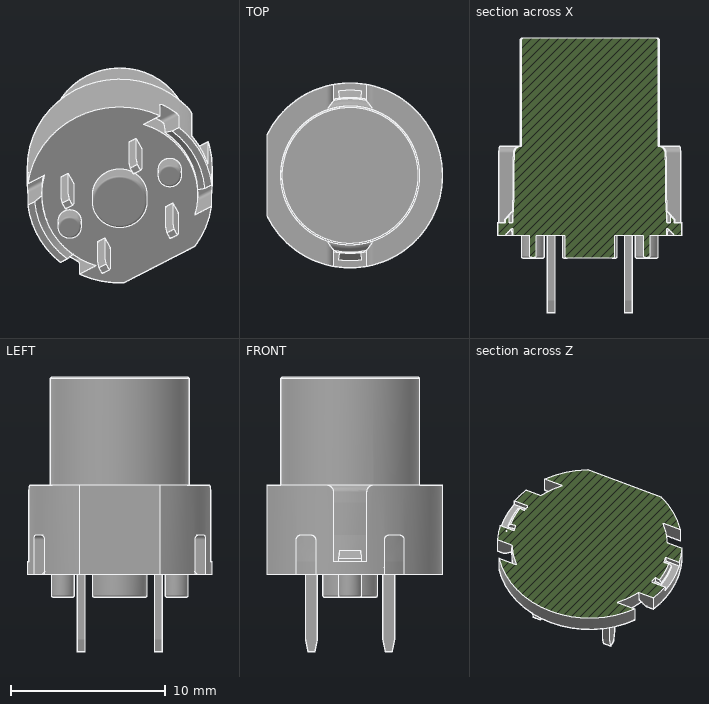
import cadquery as cq
import math

HOUSING_RADIUS = 5.99
HOUSING_HEIGHT = 5.8
FLAT_X = -5.39

CAP_RADIUS = 4.5
CAP_TOP = 12.8
CAP_EDGE_CHAMFER = 0.1

CORE_RADIUS = 4.97
CORE_TOP_RADIUS = 4.92
CORE_FOOT_RADIUS = 5.05
CORE_STRAIGHT_TOP = 4.65
CORE_STRAIGHT_BOTTOM = 2.56
FLOOR_Z = 0.85

SLOT_WIDTH = 2.15
SLOT_ROUND = 0.45

LATCH_RADIUS = 5.52
LATCH_WIDTH = 1.5
LATCH_LIP_TOP = 1.04
LATCH_TOP = 1.57

NOTCH_CENTER_X = 2.86
NOTCH_WIDTH = 1.28
NOTCH_ROUND = 0.3
UNDERCUT = 0.47

PEG_LENGTH = 1.47
PEG_ROUND = 0.15
CENTER_PEG_DIAMETER = 3.55
SIDE_PEG_DIAMETER = 1.5
SIDE_PEG_Y = 3.68

PIN_SPACING = 5.0
PIN_WIDTH = 0.78
PIN_THICKNESS = 0.53
PIN_LENGTH = 5.0
PIN_TIP_WIDTH = 0.45
PIN_TIP_LENGTH = 0.8
PIN_ROOT = 0.5

BEYOND = 1.0
SIDES = (-1, 1)


def make_core():
    """Turned core: straight waist, drawn in at the top and flared at the foot."""
    return (
        cq.Workplane("XZ")
        .lineTo(CORE_FOOT_RADIUS, 0)
        .lineTo(CORE_FOOT_RADIUS, FLOOR_Z)
        .lineTo(CORE_RADIUS, CORE_STRAIGHT_BOTTOM)
        .lineTo(CORE_RADIUS, CORE_STRAIGHT_TOP)
        .lineTo(CORE_TOP_RADIUS, HOUSING_HEIGHT)
        .lineTo(0, HOUSING_HEIGHT)
        .close()
        .revolve(360, (0, 0, 0), (0, 1, 0))
    )


def make_block():
    """Round housing block with its flat on the -X side."""
    block = cq.Workplane("XY").circle(HOUSING_RADIUS).extrude(HOUSING_HEIGHT)
    keep_length = HOUSING_RADIUS - FLAT_X
    keep = cq.Workplane("XY").box(
        keep_length, 2 * HOUSING_RADIUS, HOUSING_HEIGHT, centered=(False, True, False)
    )
    return block.intersect(keep.translate((FLAT_X, 0, 0)))


def cut_slots(block, core):
    """Cut both latch slots down to the core and round their upper edges."""
    slots = (
        cq.Workplane("XY", origin=(0, 0, FLOOR_Z))
        .rect(SLOT_WIDTH, 2 * (HOUSING_RADIUS + BEYOND))
        .extrude(HOUSING_HEIGHT)
    )
    block = block.cut(slots.cut(core))
    half_width = SLOT_WIDTH / 2
    margin = 0.01
    for side in SIDES:
        near_y = side * CAP_RADIUS
        far_y = side * (HOUSING_RADIUS - margin)
        rim = cq.selectors.BoxSelector(
            (-half_width - margin, near_y, HOUSING_HEIGHT - margin),
            (half_width + margin, far_y, HOUSING_HEIGHT + margin),
        )
        block = block.edges(rim).fillet(SLOT_ROUND)
    return block


def cut_notches(block, core):
    """Cut the four rim notches and the undercut joining them around the core."""
    for side in SIDES:
        notch = (
            cq.Workplane("XY")
            .box(
                NOTCH_WIDTH,
                2 * (HOUSING_RADIUS + BEYOND),
                CORE_STRAIGHT_BOTTOM + BEYOND,
                centered=(True, True, False),
            )
            .edges("|Y and >Z")
            .fillet(NOTCH_ROUND)
            .translate((side * NOTCH_CENTER_X, 0, -BEYOND))
        )
        block = block.cut(notch.cut(core))
    undercut = (
        cq.Workplane("XZ")
        .moveTo(CORE_FOOT_RADIUS, 0)
        .lineTo(CORE_FOOT_RADIUS + UNDERCUT, 0)
        .lineTo(CORE_FOOT_RADIUS, UNDERCUT)
        .close()
        .revolve(360, (0, 0, 0), (0, 1, 0))
    )
    between_notches = cq.Workplane("XY").box(
        2 * NOTCH_CENTER_X, 2 * HOUSING_RADIUS, 2 * UNDERCUT
    )
    return block.cut(undercut.intersect(between_notches))


def make_latch(side):
    """Latch nose: a sector of a turned wedge, sloping up toward the core."""
    sweep = 2 * math.degrees(math.asin(LATCH_WIDTH / 2 / LATCH_RADIUS))
    nose = (
        cq.Workplane("XZ")
        .moveTo(CAP_RADIUS, FLOOR_Z)
        .lineTo(LATCH_RADIUS, FLOOR_Z)
        .lineTo(LATCH_RADIUS, LATCH_LIP_TOP)
        .lineTo(CORE_FOOT_RADIUS, LATCH_TOP)
        .lineTo(CAP_RADIUS, LATCH_TOP)
        .close()
        .revolve(sweep, (0, 0, 0), (0, 1, 0))
    )
    return nose.rotate((0, 0, 0), (0, 0, 1), side * 90 - sweep / 2)


def make_cap():
    """Button cap with a narrow chamfer around its top."""
    return (
        cq.Workplane("XY", origin=(0, 0, FLOOR_Z))
        .circle(CAP_RADIUS)
        .extrude(CAP_TOP - FLOOR_Z)
        .faces(">Z")
        .edges()
        .chamfer(CAP_EDGE_CHAMFER)
    )


def make_peg(diameter, y):
    """Round peg hanging from the housing floor, rounded at its end."""
    return (
        cq.Workplane("XY", origin=(0, y, 0))
        .circle(diameter / 2)
        .extrude(-PEG_LENGTH)
        .faces("<Z")
        .edges()
        .fillet(PEG_ROUND)
    )


def make_pin(x, y):
    """Flat pin, tapered across its width at the tip."""
    half_width = PIN_WIDTH / 2
    half_tip = PIN_TIP_WIDTH / 2
    shoulder_z = PIN_TIP_LENGTH - PIN_LENGTH
    outline = [
        (-half_width, PIN_ROOT),
        (half_width, PIN_ROOT),
        (half_width, shoulder_z),
        (half_tip, -PIN_LENGTH),
        (-half_tip, -PIN_LENGTH),
        (-half_width, shoulder_z),
    ]
    pin = cq.Workplane("XZ").polyline(outline).close().extrude(PIN_THICKNESS / 2, both=True)
    return pin.translate((x, y, 0))


core = make_core()
result = cut_notches(cut_slots(make_block(), core), core)
result = result.union(make_cap())
result = result.union(make_peg(CENTER_PEG_DIAMETER, 0))
for side_y in SIDES:
    result = result.union(make_latch(side_y))
    result = result.union(make_peg(SIDE_PEG_DIAMETER, side_y * SIDE_PEG_Y))
    for side_x in SIDES:
        result = result.union(make_pin(side_x * PIN_SPACING / 2, side_y * PIN_SPACING / 2))